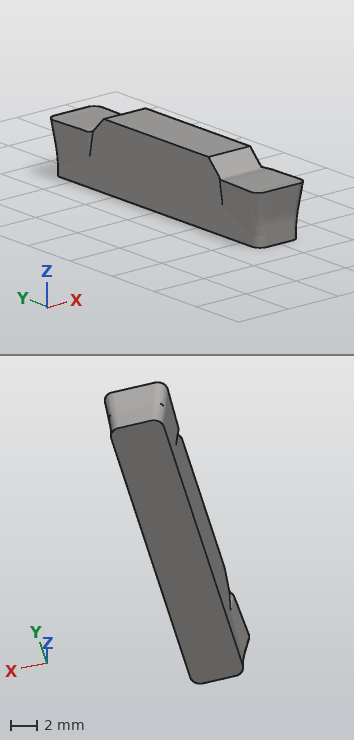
import cadquery as cq
import math


length = 25.08
body_width = 4.2
body_height = 5.97
corner_radius = 0.8

edge_height = 4.61
head_width = 5.0
side_draft = 6.0
side_taper = 2.5
front_clearance = 7.7
clearance_end = 2.28
vertical_end = 1.75

rake_length = 0.83
rake_drop = 0.03
land_start = 1.45
land_end = 2.5
land_rise = 0.008
crest = 4.0
crest_rise = 0.013
dip_end = 4.46
dip_drop = 0.03
ramp_fillet_start = 4.7
ramp_fillet_radius = 0.63
ramp_angle = 45.0

relief_start = 4.56
relief_bend = 4.66
relief_bend_step = 0.03
relief_slope = 0.58
relief_end = 5.27

half_length = length / 2
draft_slope = math.tan(math.radians(side_draft))
taper_slope = math.tan(math.radians(side_taper))
clearance_slope = math.tan(math.radians(front_clearance))
edge_y = half_length
clearance_y = edge_y - (edge_height - clearance_end) * clearance_slope
foot_y = clearance_y - (clearance_end - vertical_end) / 2 * clearance_slope
hollow_z = edge_height - rake_drop
land_z = hollow_z + land_rise
crest_z = land_z + crest_rise
floor_z = crest_z - dip_drop


def half_profile():
    """Side outline of the +Y half, extruded across more than the head width."""
    ramp = math.radians(ramp_angle)
    half_ramp = ramp / 2
    fillet_y = edge_y - ramp_fillet_start
    fillet_mid = (
        fillet_y - ramp_fillet_radius * math.sin(half_ramp),
        floor_z + ramp_fillet_radius * (1 - math.cos(half_ramp)),
    )
    fillet_end = (
        fillet_y - ramp_fillet_radius * math.sin(ramp),
        floor_z + ramp_fillet_radius * (1 - math.cos(ramp)),
    )
    ramp_top_y = fillet_end[0] - (body_height - fillet_end[1]) / math.tan(ramp)
    stock_width = 2 * head_width
    return (
        cq.Workplane("YZ", origin=(-stock_width / 2, 0, 0))
        .lineTo(foot_y, 0)
        .lineTo(foot_y, vertical_end)
        .tangentArcPoint((clearance_y, clearance_end), relative=False)
        .lineTo(edge_y, edge_height)
        .spline(
            [(edge_y - rake_length, hollow_z)],
            tangents=[(-rake_length, -2 * rake_drop), (-1, 0)],
            includeCurrent=True,
        )
        .lineTo(edge_y - land_start, land_z)
        .lineTo(edge_y - land_end, land_z)
        .lineTo(edge_y - crest, crest_z)
        .lineTo(edge_y - dip_end, floor_z)
        .lineTo(fillet_y, floor_z)
        .threePointArc(fillet_mid, fillet_end)
        .lineTo(ramp_top_y, body_height)
        .lineTo(0, body_height)
        .close()
        .extrude(stock_width)
    )


def head_outline(z):
    """Plan outline of the head at height z; drafting moves every side point equally."""
    corner_half = head_width / 2 - (edge_height - z) * draft_slope
    start_half = corner_half - (relief_start - rake_length) * taper_slope
    bend_half = start_half - relief_bend_step
    end_half = bend_half - (relief_end - relief_bend) * relief_slope
    right_side = [
        (corner_half + rake_length * taper_slope, edge_y),
        (start_half, edge_y - relief_start),
        (bend_half, edge_y - relief_bend),
        (end_half, edge_y - relief_end),
    ]
    left_side = [(-x, y) for x, y in reversed(right_side)]
    return right_side + left_side


def head_envelope():
    """Drafted sides of the head, from the base to the top of the body."""
    return (
        cq.Workplane("XY")
        .polyline(head_outline(0)).close()
        .workplane(offset=body_height)
        .polyline(head_outline(body_height)).close()
        .loft(ruled=True)
    )


def round_tip(solid):
    """Round the upright corners where the sides meet the tip."""
    tip_start = foot_y - corner_radius / 2
    tip_zone = cq.selectors.BoxSelector(
        (-head_width, tip_start, 0), (head_width, edge_y, body_height)
    )
    corners = []
    for edge in solid.edges(tip_zone).vals():
        box = edge.BoundingBox()
        if box.zlen > max(box.xlen, box.ylen):
            corners.append(edge)
    return solid.newObject(corners).fillet(corner_radius)


profile = half_profile()
body_slab = cq.Workplane("XY").box(
    body_width, 2 * length, body_height, centered=(True, True, False)
)
body_half = round_tip(profile.intersect(body_slab))
head = round_tip(profile.intersect(head_envelope()))
half = body_half.union(head)
result = half.union(half.mirror("XZ"))